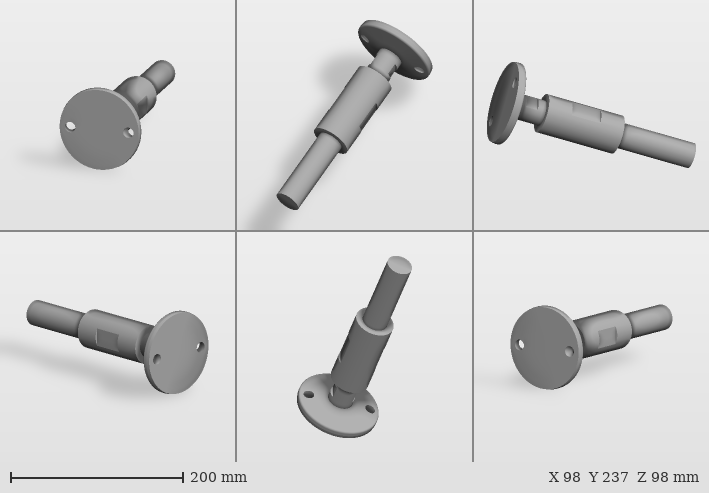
import cadquery as cq
import math


total_length = 237.0
spindle_diameter = 30.0
plate_diameter = 98.0
plate_bottom_diameter = 96.7
taper_height = 3.8
rim_top = 7.3
cone_bottom_radius = 47.0
cone_bottom_height = 9.7
cone_top_height = 15.0

hole_diameter = 12.5
hole_offset = 35.5
hole_half_length = 23.7

sleeve_diameter = 46.0
sleeve_start = 48.8
sleeve_length = 95.0

spindle_flat_width = 24.0
spindle_flat_length = 15.0
spindle_flat_center = 31.3
sleeve_flat_width = 41.0
sleeve_flat_length = 36.0
sleeve_flat_center = sleeve_start + sleeve_length / 2

spindle_radius = spindle_diameter / 2
plate_radius = plate_diameter / 2
cone_angle = math.atan2(cone_top_height - cone_bottom_height, cone_bottom_radius - spindle_radius)


def cut_wrench_flats(body, diameter, across_flats, length, center):
    """Cut two opposite flats into a round body, centred at a given Y."""
    depth = (diameter - across_flats) / 2
    for side in (-1, 1):
        cutter = cq.Workplane("XY").box(depth, length, diameter)
        body = body.cut(cutter.translate((side * (across_flats + depth) / 2, center, 0)))
    return body


def cut_mounting_holes(body):
    """Drill two holes that lean outward toward the conical top."""
    for side in (-1, 1):
        axis = cq.Vector(side * math.sin(cone_angle), math.cos(cone_angle), 0)
        start = cq.Vector(side * hole_offset, 0, 0) - axis * hole_half_length
        drill = cq.Solid.makeCylinder(hole_diameter / 2, 2 * hole_half_length, start, axis)
        body = body.cut(cq.Workplane(obj=drill))
    return body


def make_spindle():
    """Revolve the spindle and foot plate, then cut the flats and holes."""
    shoulder_run = plate_radius - cone_bottom_radius
    shoulder_rise = cone_bottom_height - rim_top
    spindle = (
        cq.Workplane("XY")
        .lineTo(plate_bottom_diameter / 2, 0)
        .lineTo(plate_radius, taper_height)
        .lineTo(plate_radius, rim_top)
        .tangentArcPoint((-shoulder_run, shoulder_rise))
        .lineTo(spindle_radius, cone_top_height)
        .lineTo(spindle_radius, total_length)
        .lineTo(0, total_length)
        .close()
        .revolve(360, (0, 0, 0), (0, 1, 0))
    )
    spindle = cut_wrench_flats(
        spindle, spindle_diameter, spindle_flat_width, spindle_flat_length, spindle_flat_center
    )
    return cut_mounting_holes(spindle)


def make_sleeve():
    """Build the sleeve, bored to fit the spindle, with its wrench flats."""
    sleeve = (
        cq.Workplane("XZ", origin=(0, sleeve_start, 0))
        .circle(sleeve_diameter / 2)
        .circle(spindle_radius)
        .extrude(-sleeve_length)
    )
    return cut_wrench_flats(
        sleeve, sleeve_diameter, sleeve_flat_width, sleeve_flat_length, sleeve_flat_center
    )


spindle = make_spindle()
sleeve = make_sleeve()
result = cq.Compound.makeCompound([spindle.val(), sleeve.val()])